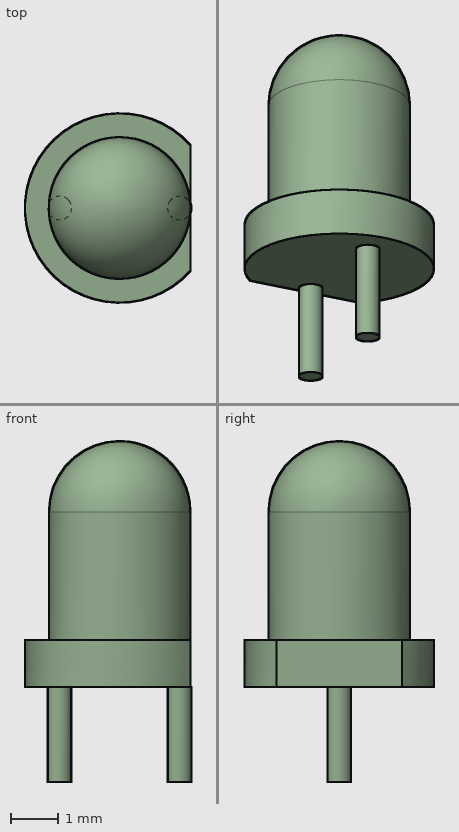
import cadquery as cq

total_height = 7.2
flange_radius = 2.0
flange_height = 1.0
bulb_radius = 1.5
lead_radius = 0.25
lead_length = 2.0
lead_offset = 1.27

flat_offset = bulb_radius
bulb_top = total_height - lead_length
dome_base = bulb_top - bulb_radius


def make_flange():
    """Round flange with a flat on the +X side."""
    disc = cq.Workplane("XY").circle(flange_radius).extrude(flange_height)
    keep_width = flange_radius + flat_offset
    keep = (
        cq.Workplane("XY")
        .box(keep_width, 2 * flange_radius, flange_height, centered=(False, True, False))
        .translate((-flange_radius, 0, 0))
    )
    return disc.intersect(keep)


def make_bulb():
    """Cylinder with a hemispherical dome, revolved about Z."""
    arc_middle = cq.Vector(1, 1).normalized() * bulb_radius
    return (
        cq.Workplane("XZ")
        .lineTo(bulb_radius, 0)
        .lineTo(bulb_radius, dome_base)
        .threePointArc((arc_middle.x, dome_base + arc_middle.y), (0, bulb_top))
        .close()
        .revolve(360, (0, 0), (0, 1))
    )


def make_leads():
    """Two round leads below the flange, spaced along X."""
    return (
        cq.Workplane("XY")
        .pushPoints([(-lead_offset, 0), (lead_offset, 0)])
        .circle(lead_radius)
        .extrude(-lead_length)
    )


result = make_flange().union(make_bulb()).union(make_leads())